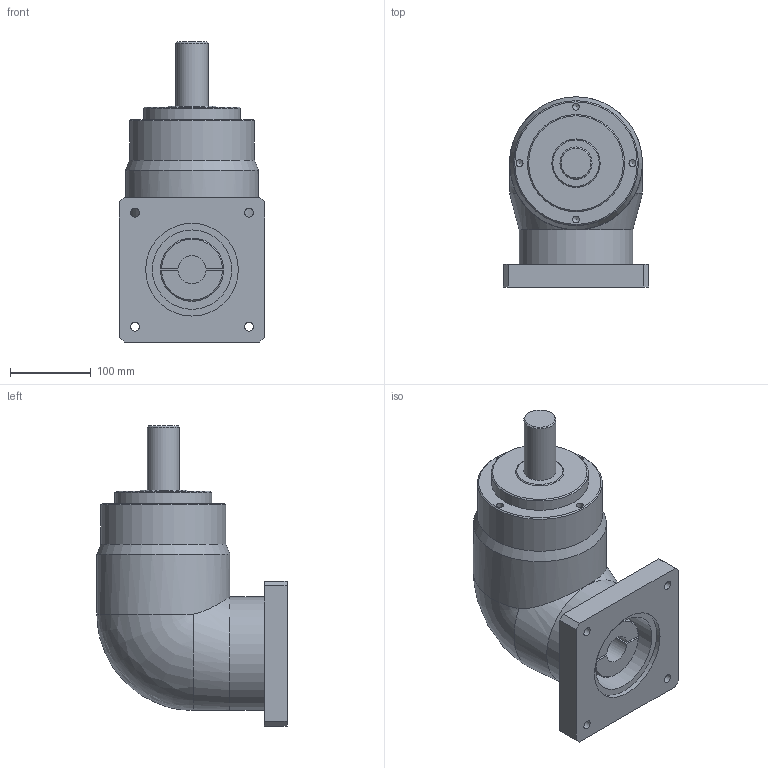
import cadquery as cq
import math

shaft_radius = 20.0
shaft_chamfer = 1.5
shaft_top = 282.7
pilot_radius = 60.25
pilot_top = 201.5
pilot_chamfer = 1.5
seal_radius = 30.0
seal_chamfer = 1.2
seal_top = 203.0
flange_radius = 77.5
flange_top = 186.0
flange_chamfer = 1.5
flange_bottom = 136.0
body_radius = 82.5
body_top = 123.5

output_hole_count = 4
output_hole_circle = 140.0
output_hole_diameter = 8.5
output_hole_depth = 20.0
drill_tip_angle = 118.0

neck_radius = 70.5
plate_size = 180.0
plate_thickness = 28.5
plate_corner_chamfer = 6.0
overall_depth = 236.0
plate_face = body_radius - overall_depth
plate_back = plate_face + plate_thickness
plate_hole_spacing = 141.4
plate_hole_diameter = 11.0

bend_y = -37.2
bend_z = body_radius - neck_radius - bend_y
elbow_end_z = bend_z + bend_y

recess_radius = 57.5
recess_depth = 6.0
bore_radius = 49.25
bore_depth = 50.0
hub_radius = 39.25
hub_face_depth = 18.5
hub_chamfer = 1.5
hub_bore_radius = 17.5
slot_width = 2.5


def cylinder_z(radius, bottom, top):
    """Cylinder on the Z axis from z = bottom to z = top."""
    return cq.Workplane("XY").workplane(offset=bottom).circle(radius).extrude(top - bottom)


def cylinder_y(radius, front, back):
    """Cylinder on the Y axis from y = front to y = back."""
    return cq.Workplane("XZ", origin=(0, front, 0)).circle(radius).extrude(front - back)


def make_output_side():
    """Coaxial steps of the output side, from the body up to the shaft end."""
    body = cylinder_z(body_radius, bend_z, body_top)
    taper = (
        cq.Workplane("XY")
        .workplane(offset=body_top)
        .circle(body_radius)
        .workplane(offset=flange_bottom - body_top)
        .circle(flange_radius)
        .loft(ruled=True)
    )
    flange = cylinder_z(flange_radius, flange_bottom, flange_top).faces(">Z").chamfer(flange_chamfer)
    pilot = cylinder_z(pilot_radius, flange_top, pilot_top).faces(">Z").chamfer(pilot_chamfer)
    seal = cylinder_z(seal_radius, pilot_top, seal_top).faces(">Z").chamfer(seal_chamfer)
    shaft = cylinder_z(shaft_radius, pilot_top, shaft_top).faces(">Z").chamfer(shaft_chamfer)
    return body.union(taper).union(flange).union(pilot).union(seal).union(shaft)


def make_elbow():
    """Spin the body arc behind the bend axis and keep the quarter turn between body and neck."""
    half_chord = math.sqrt(body_radius**2 - bend_y**2)
    outer_radius = body_radius - bend_y
    spun_arc = (
        cq.Workplane("XY", origin=(0, 0, bend_z))
        .moveTo(-half_chord, bend_y)
        .threePointArc((0, body_radius), (half_chord, bend_y))
        .close()
        .revolve(360, (-half_chord, bend_y, 0), (half_chord, bend_y, 0))
    )
    quarter = (
        cq.Workplane("XY", origin=(0, bend_y, bend_z))
        .box(2 * outer_radius, outer_radius, outer_radius, centered=(True, False, False))
        .translate((0, 0, -outer_radius))
    )
    return spun_arc.intersect(quarter)


def make_neck():
    """Round neck with the slanted transition that joins it to the elbow."""
    transition = (
        cq.Workplane("XZ", origin=(0, bend_y, 0))
        .center(0, elbow_end_z)
        .circle(body_radius)
        .workplane(offset=bend_y + body_radius)
        .center(0, -elbow_end_z)
        .circle(neck_radius)
        .loft(ruled=True)
    )
    neck = cylinder_y(neck_radius, plate_back, -body_radius)
    return transition.union(neck)


def make_plate():
    """Square mounting plate with cut corners and four through holes."""
    return (
        cq.Workplane("XZ", origin=(0, plate_face, 0))
        .rect(plate_size, plate_size)
        .extrude(-plate_thickness)
        .edges("|Y")
        .chamfer(plate_corner_chamfer)
        .faces("<Y")
        .workplane(origin=(0, plate_face, 0))
        .rect(plate_hole_spacing, plate_hole_spacing, forConstruction=True)
        .vertices()
        .hole(plate_hole_diameter)
    )


def make_hub():
    """Chamfered clamping hub, bored and split by a slot across its full width."""
    face = plate_face + hub_face_depth
    floor = plate_face + bore_depth
    hub = cylinder_y(hub_radius, face, floor).faces("<Y").chamfer(hub_chamfer)
    hub = hub.cut(cylinder_y(hub_bore_radius, face, floor))
    slot = (
        cq.Workplane("XY", origin=(0, face, 0))
        .box(2 * hub_radius, floor - face, slot_width, centered=(True, False, True))
    )
    return hub.cut(slot)


def make_recess():
    """Stepped round cavity in the input face."""
    recess = cylinder_y(recess_radius, plate_face, plate_face + recess_depth)
    bore = cylinder_y(bore_radius, plate_face, plate_face + bore_depth)
    return recess.union(bore)


def make_output_holes():
    """Ring of blind holes, each ending in a drill-tip cone."""
    hole_radius = output_hole_diameter / 2
    tip_length = hole_radius / math.tan(math.radians(drill_tip_angle / 2))
    profile = [
        (0, 0),
        (hole_radius, 0),
        (hole_radius, -output_hole_depth),
        (0, -output_hole_depth - tip_length),
    ]
    hole = cq.Workplane("XZ").polyline(profile).close().revolve(360, (0, 0, 0), (0, 1, 0))
    return (
        cq.Workplane("XY")
        .workplane(offset=flange_top)
        .polarArray(output_hole_circle / 2, 0, 360, output_hole_count)
        .eachpoint(lambda place: hole.val().moved(place))
    )


housing = make_output_side().union(make_elbow()).union(make_neck()).union(make_plate())
housing = housing.cut(make_recess()).cut(make_output_holes())
result = housing.union(make_hub())